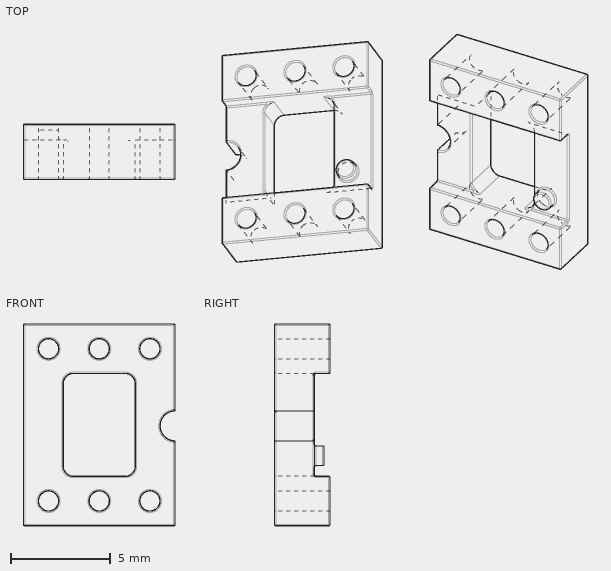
import cadquery as cq

width = 7.6
thickness = 2.79
height = 10.1

edge_radius = 0.076

slot_height = 5.14
slot_depth = 0.79

window_width = 3.6
window_height = slot_height
window_corner_radius = 0.5

hole_diameter = 1.0
hole_pitch = 2.54
hole_columns = (-1, 0, 1)
hole_row_spacing = 7.62

notch_radius = 0.75
notch_z = -0.05

peg_diameter = 1.0
peg_length = 0.49
peg_x = -hole_pitch
peg_z = -1.55

back_y = thickness / 2
slot_floor_y = back_y - slot_depth


def make_slot():
    """Slot cutter, running the full width along the back."""
    slot = cq.Workplane("XY").box(width, slot_depth, slot_height)
    return slot.translate((0, back_y - slot_depth / 2, 0))


def make_window():
    """Window cutter with rounded corners."""
    window = cq.Workplane("XY").box(window_width, thickness, window_height)
    return window.edges("|Y").fillet(window_corner_radius)


def make_round_cutter(x, z, radius):
    """Round cutter through the whole thickness."""
    return cq.Workplane("XZ", origin=(x, back_y, z)).circle(radius).extrude(thickness)


def make_holes():
    """Cutters for both rows of through holes."""
    hole_radius = hole_diameter / 2
    row_z = hole_row_spacing / 2
    return [
        make_round_cutter(column * hole_pitch, z, hole_radius)
        for z in (-row_z, row_z)
        for column in hole_columns
    ]


def make_peg():
    """Peg standing on the slot floor."""
    base = cq.Workplane("XZ", origin=(peg_x, slot_floor_y, peg_z))
    return base.circle(peg_diameter / 2).extrude(-peg_length)


def round_edges(body):
    """Round all edges except the two sharp ones where the notch meets the +X side."""
    notch_reach = notch_radius + edge_radius
    notch_zone = cq.selectors.BoxSelector(
        (0, -thickness, notch_z - notch_reach),
        (width, thickness, notch_z + notch_reach),
    )
    side_edges = body.edges("|Y").edges("<X or >X")
    sharp_edges = side_edges.edges(notch_zone)
    rounded_side_edges = [edge for edge in side_edges.vals() if edge not in sharp_edges.vals()]
    other_edges = body.edges("not |Y").vals()
    return body.newObject(rounded_side_edges + other_edges).fillet(edge_radius)


body = cq.Workplane("XY").box(width, thickness, height)
notch = make_round_cutter(width / 2, notch_z, notch_radius)
for cutter in [make_slot(), make_window(), notch] + make_holes():
    body = body.cut(cutter)
body = body.union(make_peg())

result = round_edges(body)